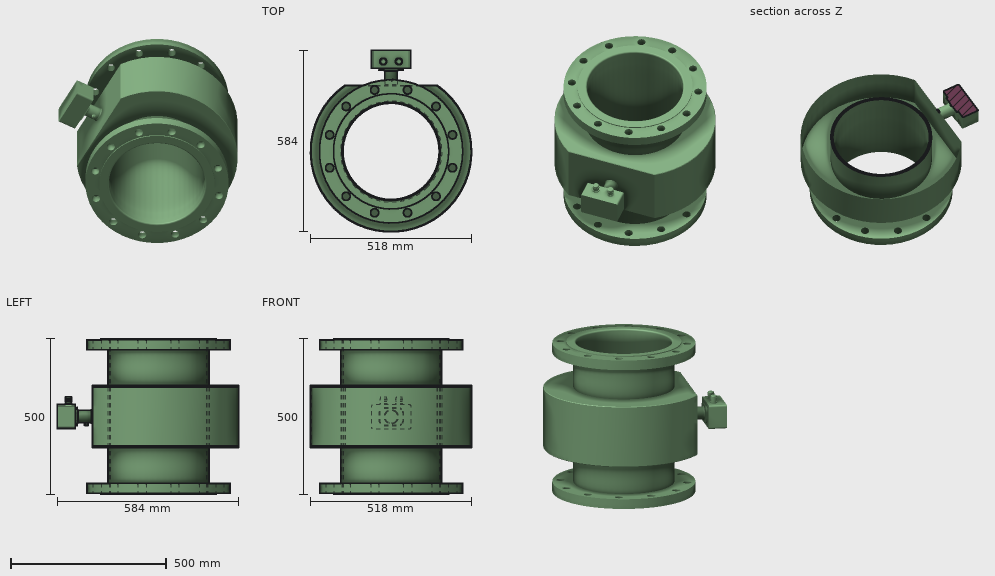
import cadquery as cq
import math

total_height = 500.0
total_depth = 584.0

bore_dia = 309.0
liner_dia = 316.0
mouth_radius = 5.0
raised_face_dia = 370.0
raised_face_height = 3.5

pipe_dia = 325.5
flange_dia = 460.0
flange_thickness = 32.0
bolt_count = 12
bolt_hole_dia = 26.0
bolt_circle_dia = 408.0

drum_dia = 518.0
drum_height = 200.0
drum_flat_y = 212.5
drum_edge_chamfer = 2.0
drum_wall = 1.9
drum_end_thickness = 6.0

neck_dia = 41.0
weld_length = 3.5
weld_width = 2.5
plug_width = 12.0
plug_drop = 9.0
plug_chamfer = 2.0
plug_to_flat = 18.5

box_width = 127.0
box_depth = 58.5
box_height = 78.0
box_edge_radius = 6.0
plate_width = 78.0
plate_height = 58.5
plate_thickness = 6.0
plate_corner_radius = 17.5
plate_taper_angle = 20
gland_spacing = 50.0
gland_to_back = 36.0
gland_core_dia = 18.5
gland_cap_dia = 20.0
gland_collar_dia = 22.0
gland_base_height = 4.0
gland_core_height = 10.0
gland_collar_bottom = 14.0
gland_collar_top = 18.0
gland_height = 24.5
gland_top_fillet = 3.0

half_height = total_height / 2
flange_top = half_height - raised_face_height
flange_bottom = flange_top - flange_thickness
box_back_y = total_depth - drum_dia / 2
box_front_y = box_back_y - box_depth
plate_front_y = box_front_y - plate_thickness
bolt_angle_step = 360 / bolt_count


def disc(diameter, bottom, top):
    """Solid cylinder on the Z axis between two heights."""
    return cq.Workplane("XY").workplane(offset=bottom).circle(diameter / 2).extrude(top - bottom)


def make_liner():
    liner = disc(liner_dia, -half_height, half_height)
    liner = liner.union(disc(raised_face_dia, flange_top, half_height))
    liner = liner.union(disc(raised_face_dia, -half_height, -flange_top))
    liner = liner.cut(disc(bore_dia, -half_height, half_height))
    bore_rims = cq.selectors.RadiusNthSelector(0)
    return liner.edges("%CIRCLE").edges(bore_rims).fillet(mouth_radius)


def make_flanged_pipe():
    pipe = disc(pipe_dia, -flange_top, flange_top)
    for bottom, top in ((flange_bottom, flange_top), (-flange_top, -flange_bottom)):
        pipe = pipe.union(disc(flange_dia, bottom, top))
    bolt_holes = (
        cq.Workplane("XY")
        .workplane(offset=-half_height)
        .polarArray(bolt_circle_dia / 2, bolt_angle_step / 2, 360, bolt_count)
        .circle(bolt_hole_dia / 2)
        .extrude(total_height)
    )
    return pipe.cut(bolt_holes)


def flattened_drum(diameter, flat_y, height):
    """Cylinder centred on the origin, cut off flat at flat_y."""
    flat_x = math.sqrt((diameter / 2) ** 2 - flat_y**2)
    return (
        cq.Workplane("XY")
        .workplane(offset=-height / 2)
        .moveTo(-flat_x, flat_y)
        .threePointArc((0, -diameter / 2), (flat_x, flat_y))
        .close()
        .extrude(height)
    )


def make_neck():
    """Round neck from the drum flat to the box plate, with a conical weld bead at each end."""
    neck_radius = neck_dia / 2
    bead_radius = neck_radius + weld_width
    half_profile = [
        (0, drum_flat_y),
        (bead_radius, drum_flat_y),
        (neck_radius, drum_flat_y + weld_length),
        (neck_radius, plate_front_y - weld_length),
        (bead_radius, plate_front_y),
        (0, plate_front_y),
    ]
    return cq.Workplane("XY").polyline(half_profile).close().revolve(360, (0, 0, 0), (0, 1, 0))


def make_drain_plug():
    plug_y = drum_flat_y + plug_to_flat
    bottom = -neck_dia / 2 - plug_drop
    plug = (
        cq.Workplane("XY", origin=(0, plug_y, bottom))
        .transformed(rotate=(0, 0, 90))
        .polygon(6, plug_width)
        .extrude(-bottom)
    )
    return plug.faces("<Z").chamfer(plug_chamfer)


def make_drum():
    drum = flattened_drum(drum_dia, drum_flat_y, drum_height)
    drum = drum.faces("|Z").edges().chamfer(drum_edge_chamfer)
    cavity = flattened_drum(
        drum_dia - 2 * drum_wall, drum_flat_y - drum_wall, drum_height - 2 * drum_end_thickness
    )
    drum = drum.cut(cavity)
    return drum.union(make_neck()).union(make_drain_plug())


def make_housing():
    housing = make_drum().union(make_flanged_pipe())
    return housing.cut(disc(liner_dia, -half_height, half_height))


def make_gland(x):
    """Stepped cable gland standing on the box top."""
    axis_y = box_back_y - gland_to_back

    def step(diameter, bottom, top):
        return disc(diameter, box_height / 2 + bottom, box_height / 2 + top)

    gland = step(gland_cap_dia, gland_core_height, gland_height)
    gland = gland.faces(">Z").edges().fillet(gland_top_fillet)
    gland = gland.union(step(gland_core_dia, 0, gland_core_height))
    gland = gland.union(step(gland_collar_dia, 0, gland_base_height))
    gland = gland.union(step(gland_collar_dia, gland_collar_bottom, gland_collar_top))
    return gland.translate((x, axis_y, 0))


def make_box():
    box = cq.Workplane("XY").box(box_width, box_depth, box_height)
    box = box.edges("|Y").fillet(box_edge_radius)
    box = box.translate((0, box_front_y + box_depth / 2, 0))
    plate = (
        cq.Workplane("XZ", origin=(0, plate_front_y, 0))
        .sketch()
        .rect(plate_width, plate_height)
        .vertices()
        .fillet(plate_corner_radius)
        .finalize()
        .extrude(-plate_thickness, taper=plate_taper_angle)
    )
    box = box.union(plate)
    for x in (-gland_spacing / 2, gland_spacing / 2):
        box = box.union(make_gland(x))
    return box


liner = make_liner()
housing = make_housing()
connection_box = make_box()
result = cq.Compound.makeCompound([liner.val(), housing.val(), connection_box.val()])